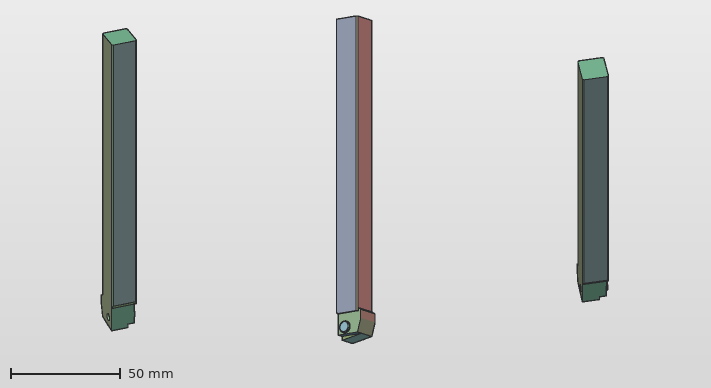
import cadquery as cq

length = 149.4
shank_size = 12.1
shank_chamfer = 0.6
overall_width = 13.5
shank_right = overall_width
shank_left = shank_right - shank_size
shank_bottom = 13.1
back_step_height = 11.6

side_inset = 0.7
back_inset = 0.9
head_right = shank_right - side_inset
head_depth = shank_size - back_inset
shoulder_height = 12.1
side_bottom = 8.0
heel_x = 1.8
heel_height = 1.8

relief_front = 8.0

screw_x = 8.7
screw_height = 5.1
screw_diameter = 3.1
screw_recess = 3.7
screw_head_diameter = 5.5
screw_head_end = 12.2
screw_head_chamfer = 0.5


def box(x0, x1, y0, y1, z0, z1):
    """Block between two opposite corners."""
    return cq.Workplane("XY").box(x1 - x0, y1 - y0, z1 - z0, centered=False).translate((x0, y0, z0))


def cylinder_along_y(diameter, y0, y1):
    """Cylinder on the screw axis, from y0 to y1."""
    return (
        cq.Workplane("XZ", origin=(screw_x, y0, screw_height))
        .circle(diameter / 2)
        .extrude(y0 - y1)
    )


def make_shank():
    """Square bar with chamfered long edges and a chamfered lower right end."""
    bar = box(shank_left, shank_right, 0, shank_size, back_step_height, length)
    bar = bar.edges("|Z").chamfer(shank_chamfer)
    run_out = (
        cq.Workplane("XZ")
        .polyline([
            (shank_right, shank_bottom),
            (shank_right, back_step_height),
            (head_right, back_step_height),
        ])
        .close()
        .extrude(-shank_size)
    )
    return bar.cut(run_out)


def make_head():
    """Angular head with a sloping sole, relieved behind the cutting corner."""
    head = (
        cq.Workplane("XZ")
        .polyline([
            (shank_left, shank_bottom),
            (0, shoulder_height),
            (0, side_bottom),
            (heel_x, heel_height),
            (head_right, 0),
            (head_right, shank_bottom),
        ])
        .close()
        .extrude(-head_depth)
    )
    return head.cut(box(0, head_right, relief_front, head_depth, 0, heel_height))


def make_holder():
    """Shank and head in one piece, with a through hole for the screw."""
    return make_shank().union(make_head()).cut(cylinder_along_y(screw_diameter, 0, head_depth))


def make_screw():
    """Screw with its tip sunk below the front face and its head on the back face."""
    stem = cylinder_along_y(screw_diameter, screw_recess, head_depth)
    head = cylinder_along_y(screw_head_diameter, head_depth, screw_head_end)
    return stem.union(head.faces(">Y").chamfer(screw_head_chamfer))


holder = make_holder()
screw = make_screw()
result = cq.Compound.makeCompound([holder.val(), screw.val()])